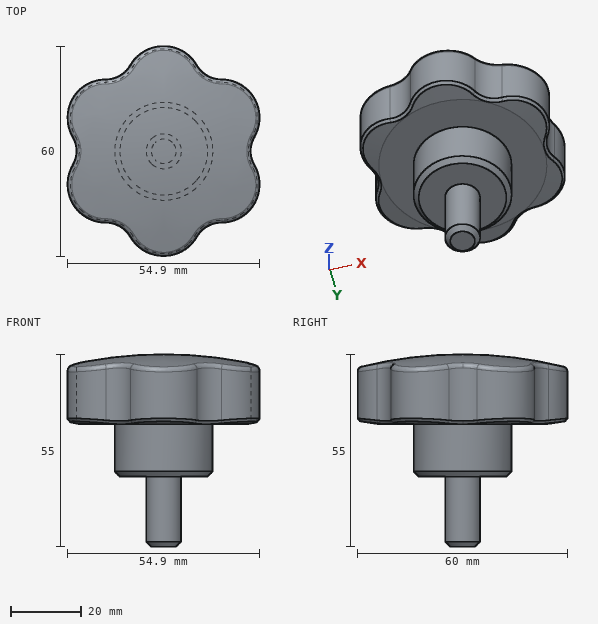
import cadquery as cq
import math

lobe_count = 6
head_radius = 30.0
head_height = 20.0
lobe_radius = 11.0
valley_radius = 8.0
dome_radius = 120.0
top_fillet = 1.5
bottom_chamfer = 0.8
trim_allowance = 3.0

flat_radius = 24.0
relief_rise = 0.9

hub_diameter = 28.0
hub_length = 15.0
stud_diameter = 10.0
stud_length = 20.05
end_chamfer = 1.5

hub_bottom = stud_length
head_bottom = hub_bottom + hub_length
head_top = head_bottom + head_height

half_pitch = math.pi / lobe_count
lobe_center = head_radius - lobe_radius
half_gap = lobe_center * math.sin(half_pitch)
valley_center = lobe_center * math.cos(half_pitch) + math.sqrt(
    (lobe_radius + valley_radius) ** 2 - half_gap**2
)
valley_depth_radius = valley_center - valley_radius


def polar(radius, angle):
    return (radius * math.cos(angle), radius * math.sin(angle))


def tangent_point(lobe_angle, valley_angle):
    """Point where a lobe arc meets the neighbouring valley arc."""
    lobe = polar(lobe_center, lobe_angle)
    valley = polar(valley_center, valley_angle)
    share = lobe_radius / (lobe_radius + valley_radius)
    return tuple(a + share * (b - a) for a, b in zip(lobe, valley))


def lobed_prism():
    first_lobe = math.pi / 2
    outline = cq.Workplane("XY", origin=(0, 0, head_bottom))
    outline = outline.moveTo(*tangent_point(first_lobe, first_lobe - half_pitch))
    for i in range(lobe_count):
        lobe = first_lobe + 2 * half_pitch * i
        valley = lobe + half_pitch
        next_lobe = valley + half_pitch
        outline = outline.threePointArc(polar(head_radius, lobe), tangent_point(lobe, valley))
        outline = outline.threePointArc(
            polar(valley_depth_radius, valley), tangent_point(next_lobe, valley)
        )
    return outline.close().extrude(head_height + trim_allowance)


def head_envelope():
    """Revolved body with a domed top and a conical relief below."""
    outer = head_radius + lobe_radius
    relief_slope = relief_rise / (head_radius - flat_radius)
    outer_bottom = head_bottom + relief_slope * (outer - flat_radius)

    def dome_height(radius):
        return head_top - dome_radius + math.sqrt(dome_radius**2 - radius**2)

    return (
        cq.Workplane("XZ")
        .moveTo(0, head_bottom)
        .lineTo(flat_radius, head_bottom)
        .lineTo(outer, outer_bottom)
        .lineTo(outer, dome_height(outer))
        .threePointArc((outer / 2, dome_height(outer / 2)), (0, head_top))
        .close()
        .revolve(360, (0, 0), (0, 1))
    )


def make_head():
    head = lobed_prism().intersect(head_envelope())
    head = head.faces("%SPHERE").edges("not (%CIRCLE or %LINE)").fillet(top_fillet)
    return head.faces("%CONE").edges("not (%CIRCLE or %LINE)").chamfer(bottom_chamfer)


def pin(diameter, bottom, length):
    """Round shank with a chamfered lower end."""
    shank = cq.Workplane("XY", origin=(0, 0, bottom)).circle(diameter / 2).extrude(length)
    return shank.faces("<Z").edges().chamfer(end_chamfer)


hub = pin(hub_diameter, hub_bottom, hub_length)
stud = pin(stud_diameter, 0, stud_length)
result = make_head().union(hub).union(stud)